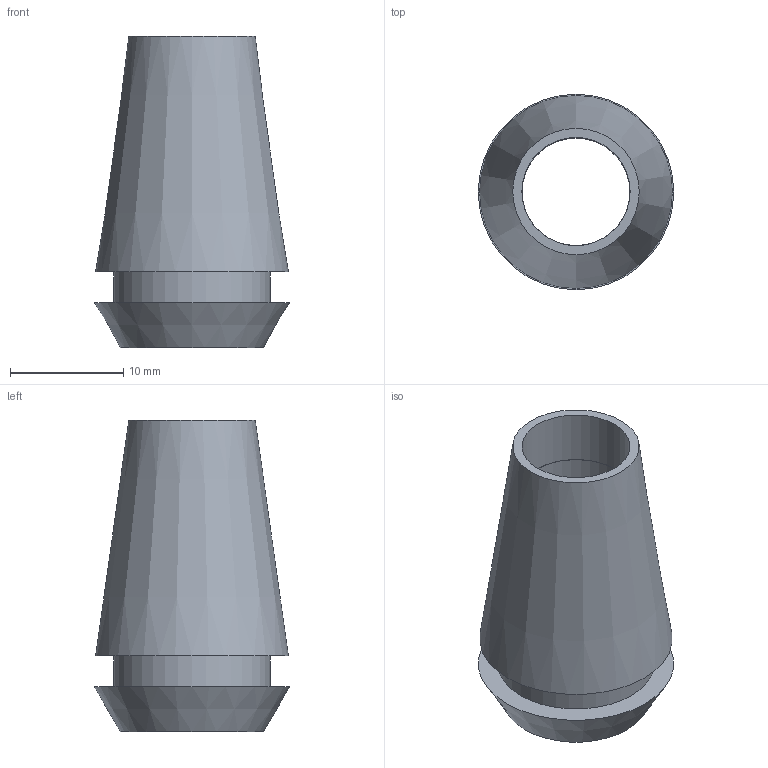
import math

import cadquery as cq

total_length = 27.5
flange_diameter = 17.25

nose_height = 4.0
nose_half_angle = 30.0

groove_width = 2.7
groove_diameter = 13.8

taper_base_diameter = 17.0
taper_half_angle = 8.0

bore_diameter = 9.5
upper_bore_diameter = 9.55
upper_bore_depth = 4.8


def cone_end_radius(start_radius, height, half_angle):
    """Radius at the narrow end of a cone of the given height."""
    return start_radius - height * math.tan(math.radians(half_angle))


def make_body():
    """Solid of revolution carrying the nose, groove and main taper."""
    flange_radius = flange_diameter / 2
    groove_radius = groove_diameter / 2
    taper_base_radius = taper_base_diameter / 2
    taper_base_z = nose_height + groove_width
    nose_radius = cone_end_radius(flange_radius, nose_height, nose_half_angle)
    top_radius = cone_end_radius(taper_base_radius, total_length - taper_base_z, taper_half_angle)
    profile = [
        (0, 0),
        (nose_radius, 0),
        (flange_radius, nose_height),
        (groove_radius, nose_height),
        (groove_radius, taper_base_z),
        (taper_base_radius, taper_base_z),
        (top_radius, total_length),
        (0, total_length),
    ]
    return cq.Workplane("YZ").polyline(profile).close().revolve(360, (0, 0), (0, 1))


def cut_bore(body):
    """Through bore, opened out from the top end."""
    through = cq.Workplane("XY").circle(bore_diameter / 2).extrude(total_length)
    upper = (
        cq.Workplane("XY")
        .workplane(offset=total_length - upper_bore_depth)
        .circle(upper_bore_diameter / 2)
        .extrude(upper_bore_depth)
    )
    return body.cut(through).cut(upper)


result = cut_bore(make_body())